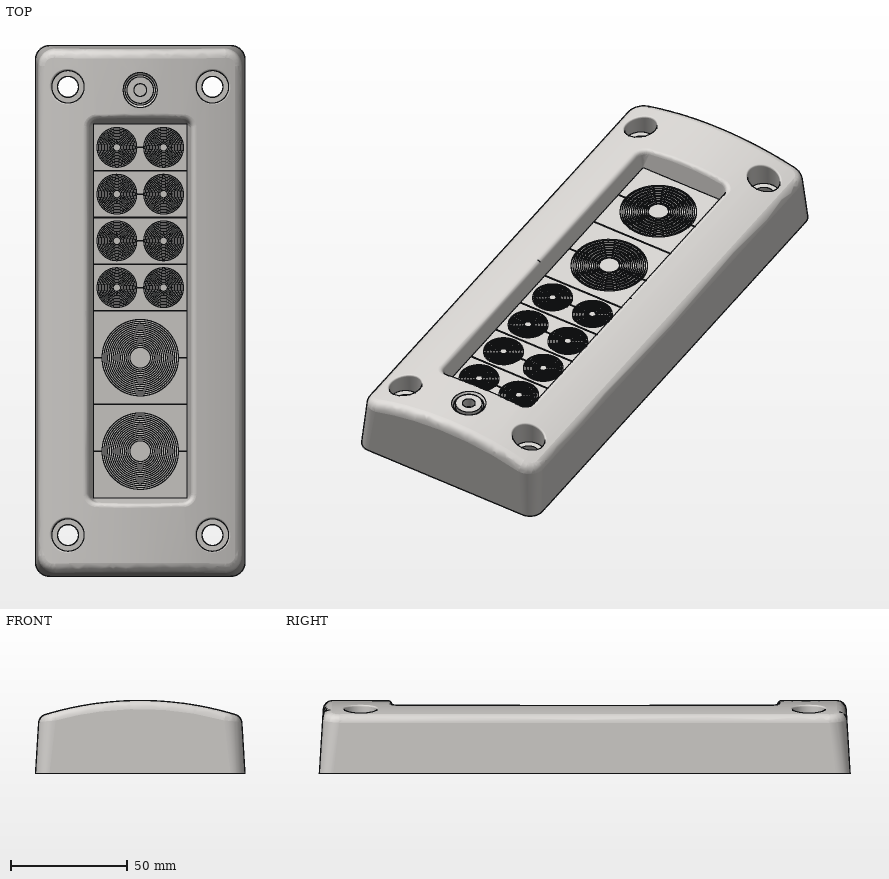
import cadquery as cq
import math

LENGTH = 228
WIDTH = 90.0
HEIGHT = 31.5
DRAFT_ANGLE = 3.5
CROWN_RADIUS = 140.0
BASE_CORNER_RADIUS = 6.2
TOP_CORNER_RADIUS = 8.0
TOP_EDGE_FILLET = 4.0

SMALL_TILE = 20.0
LARGE_TILE = 2 * SMALL_TILE
SMALL_ROWS = 4
LARGE_ROWS = 2

FLOOR_Z = 22.0
FLOOR_WIDTH = LARGE_TILE
FLOOR_LENGTH = SMALL_ROWS * SMALL_TILE + LARGE_ROWS * LARGE_TILE
FLOOR_CORNER_RADIUS = 0.2
POCKET_WALL_FLARE = 3.0
POCKET_CORNER_RADIUS = 5.5
POCKET_RIM_FILLET = 2.0

SMALL_SEAL_DIAMETER = 17.0
SMALL_CENTRE_DIAMETER = 3.2
SMALL_GROOVES = 6
LARGE_SEAL_DIAMETER = 32.8
LARGE_CENTRE_DIAMETER = 9.0
LARGE_GROOVES = 8
SEAL_GROOVE_DEPTH = 0.7
JOINT_WIDTH = 0.2
JOINT_DEPTH = 0.2

SCREW_X = 31.0
SCREW_Y = 96.2
SCREW_HOLE_DIAMETER = 9.0
SCREW_BORE_DIAMETER = 14.0
SCREW_BORE_FLOOR_Z = 18.5
SCREW_BORE_FILLET = 0.7

PLUG_Y = 94.8
PLUG_DIAMETER = 11.5
PLUG_RECESS_DIAMETER = 13.0
PLUG_RECESS_MOUTH_DIAMETER = 15.0
PLUG_RECESS_DEPTH = 2.3
PLUG_HOLE_DIAMETER = 5.5
PLUG_HOLE_DEPTH = 4.5


def rounded_loft(width, length, radius, top_width, top_length, top_radius, bottom_z, top_z):
    """Solid between two centred rounded rectangles."""
    lower = cq.Sketch().rect(width, length).vertices().fillet(radius)
    upper = cq.Sketch().rect(top_width, top_length).vertices().fillet(top_radius)
    return (
        cq.Workplane("XY", origin=(0, 0, bottom_z))
        .placeSketch(lower, upper.moved(cq.Location(cq.Vector(0, 0, top_z - bottom_z))))
        .loft(ruled=True)
    )


def crown_cylinder():
    """Long cylinder whose upper side forms the crowned top face."""
    return (
        cq.Workplane("XZ", origin=(0, 0, HEIGHT - CROWN_RADIUS))
        .circle(CROWN_RADIUS)
        .extrude(LENGTH, both=True)
    )


def housing():
    draft_inset = 2 * HEIGHT * math.tan(math.radians(DRAFT_ANGLE))
    block = rounded_loft(
        WIDTH, LENGTH, BASE_CORNER_RADIUS,
        WIDTH - draft_inset, LENGTH - draft_inset, TOP_CORNER_RADIUS,
        0, HEIGHT,
    )
    body = block.intersect(crown_cylinder())
    return body.faces(">Z").edges().fillet(TOP_EDGE_FILLET)


def cut_pocket(body):
    mouth_width = FLOOR_WIDTH + 2 * POCKET_WALL_FLARE
    mouth_length = FLOOR_LENGTH + 2 * POCKET_WALL_FLARE
    pocket = rounded_loft(
        FLOOR_WIDTH, FLOOR_LENGTH, FLOOR_CORNER_RADIUS,
        mouth_width, mouth_length, POCKET_CORNER_RADIUS,
        FLOOR_Z, HEIGHT,
    )
    rim = cq.selectors.BoxSelector(
        (-mouth_width / 2, -mouth_length / 2, (FLOOR_Z + HEIGHT) / 2),
        (mouth_width / 2, mouth_length / 2, HEIGHT + POCKET_RIM_FILLET),
        boundingbox=True,
    )
    return body.cut(pocket).edges(rim).fillet(POCKET_RIM_FILLET)


def seal_grooves(x, y, seal_diameter, centre_diameter, groove_count):
    """Concentric ring grooves around one seal centre, with lands as wide as the grooves."""
    band = (seal_diameter - centre_diameter) / 2
    groove_width = band / (2 * groove_count - 1)
    grooves = []
    for ring in range(groove_count):
        inner_radius = centre_diameter / 2 + 2 * ring * groove_width
        groove = (
            cq.Workplane("XY", origin=(x, y, FLOOR_Z))
            .circle(inner_radius)
            .circle(inner_radius + groove_width)
            .extrude(-SEAL_GROOVE_DEPTH)
        )
        grooves.append(groove.val())
    return grooves


def joint(x, y, length):
    """Thin straight joint line along X on the pocket floor."""
    line = (
        cq.Workplane("XY", origin=(x, y, FLOOR_Z))
        .rect(length, JOINT_WIDTH)
        .extrude(-JOINT_DEPTH)
    )
    return line.val()


def cut_seals(body):
    cutters = []
    row_end = FLOOR_LENGTH / 2
    for _ in range(SMALL_ROWS):
        row_y = row_end - SMALL_TILE / 2
        for x in (-SMALL_TILE / 2, SMALL_TILE / 2):
            cutters += seal_grooves(
                x, row_y, SMALL_SEAL_DIAMETER, SMALL_CENTRE_DIAMETER, SMALL_GROOVES
            )
        cutters.append(joint(0, row_y, SMALL_TILE - SMALL_SEAL_DIAMETER))
        row_end -= SMALL_TILE
        cutters.append(joint(0, row_end, FLOOR_WIDTH))

    side_joint = (LARGE_TILE - LARGE_SEAL_DIAMETER) / 2
    for row in range(LARGE_ROWS):
        row_y = row_end - LARGE_TILE / 2
        cutters += seal_grooves(
            0, row_y, LARGE_SEAL_DIAMETER, LARGE_CENTRE_DIAMETER, LARGE_GROOVES
        )
        for side in (-1, 1):
            cutters.append(joint(side * (FLOOR_WIDTH - side_joint) / 2, row_y, side_joint))
        row_end -= LARGE_TILE
        if row < LARGE_ROWS - 1:
            cutters.append(joint(0, row_end, FLOOR_WIDTH))
    return body.newObject([body.val().cut(*cutters)])


def cut_screw_holes(body):
    centres = [(x, y) for x in (-SCREW_X, SCREW_X) for y in (-SCREW_Y, SCREW_Y)]
    holes = cq.Workplane("XY").pushPoints(centres).circle(SCREW_HOLE_DIAMETER / 2).extrude(HEIGHT)
    body = body.cut(holes)
    for x, y in centres:
        bore = (
            cq.Workplane("XY", origin=(x, y, SCREW_BORE_FLOOR_Z))
            .circle(SCREW_BORE_DIAMETER / 2)
            .extrude(HEIGHT)
        )
        body = body.cut(bore)
        reach = SCREW_BORE_DIAMETER / 2 + SCREW_BORE_FILLET / 2
        mouth = cq.selectors.BoxSelector(
            (x - reach, y - reach, (SCREW_BORE_FLOOR_Z + HEIGHT) / 2),
            (x + reach, y + reach, HEIGHT),
            boundingbox=True,
        )
        body = body.edges(mouth).fillet(SCREW_BORE_FILLET)
    return body


def cut_plug(body):
    chamfer = (PLUG_RECESS_MOUTH_DIAMETER - PLUG_RECESS_DIAMETER) / 2
    floor_z = HEIGHT - PLUG_RECESS_DEPTH
    gap = (
        cq.Workplane("XZ")
        .moveTo(PLUG_DIAMETER / 2, floor_z)
        .lineTo(PLUG_RECESS_DIAMETER / 2, floor_z)
        .lineTo(PLUG_RECESS_DIAMETER / 2, HEIGHT - chamfer)
        .lineTo(PLUG_RECESS_MOUTH_DIAMETER / 2, HEIGHT)
        .lineTo(PLUG_DIAMETER / 2, HEIGHT)
        .close()
        .revolve(360, (0, 0), (0, 1))
        .translate((0, PLUG_Y, 0))
    )
    hole = (
        cq.Workplane("XY", origin=(0, PLUG_Y, HEIGHT))
        .circle(PLUG_HOLE_DIAMETER / 2)
        .extrude(-PLUG_HOLE_DEPTH)
    )
    return body.cut(gap).cut(hole)


body = housing()
body = cut_pocket(body)
body = cut_screw_holes(body)
body = cut_plug(body)
result = cut_seals(body)